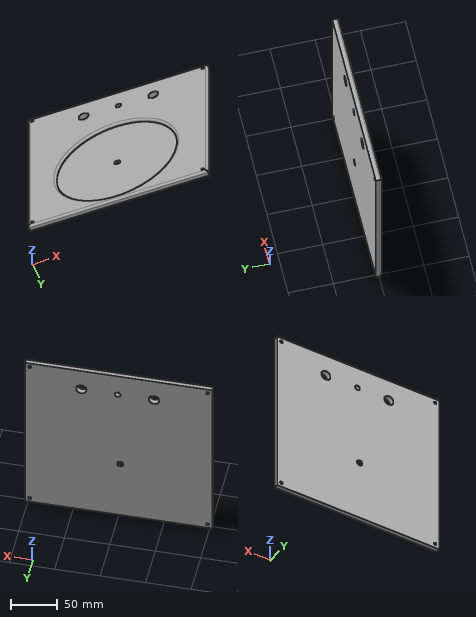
import cadquery as cq

side = 206.2
thickness = 7.0
edge_round = 2.5

recess_x = -1.9
recess_z = -27.0
recess_radius = 69.3
recess_depth = 4.0
recess_hole_diameter = 6.5

row_x = 1.0
row_z = 75.7
row_spacing = 40.0
row_outer_diameter = 11.3
row_middle_diameter = 6.2

corner_hole_offset = 97.8
corner_hole_diameter = 3.0


def make_rod(x, z, diameter, depth):
    """Cylinder running back from the front face along +Y."""
    front_center = cq.Vector(x, -thickness / 2, z)
    return cq.Workplane(cq.Solid.makeCylinder(diameter / 2, depth, front_center, cq.Vector(0, 1, 0)))


def make_panel():
    """Square plate with its four front edges rounded."""
    return cq.Workplane("XY").box(side, thickness, side).faces("<Y").edges().fillet(edge_round)


def cut_recess(body):
    """Sink the round recess and round over its rim."""
    body = body.cut(make_rod(recess_x, recess_z, 2 * recess_radius, recess_depth))
    return body.faces("<Y").edges("%CIRCLE").fillet(edge_round)


def cut_holes(body):
    """Drill every hole right through the plate."""
    holes = [
        (recess_x, recess_z, recess_hole_diameter),
        (row_x - row_spacing, row_z, row_outer_diameter),
        (row_x, row_z, row_middle_diameter),
        (row_x + row_spacing, row_z, row_outer_diameter),
    ]
    for x in (-corner_hole_offset, corner_hole_offset):
        for z in (-corner_hole_offset, corner_hole_offset):
            holes.append((x, z, corner_hole_diameter))
    for x, z, diameter in holes:
        body = body.cut(make_rod(x, z, diameter, thickness))
    return body


result = cut_holes(cut_recess(make_panel()))